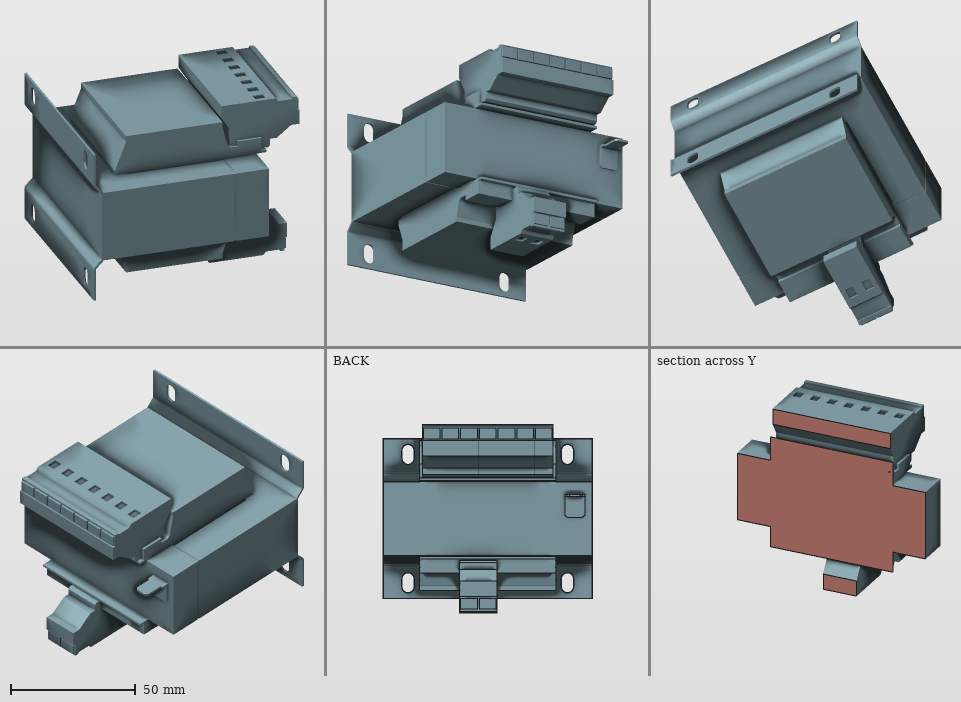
import cadquery as cq
import math


width = 84.0
core_height = 29.8
core_front = 4.4
e_core_back = 59.9
i_core_front = 60.8
core_back = 74.6
spacer_recess = 0.2
window_width = 56.3
window_front = 18.5

sheet = 0.9
foot_edge_z = 32.1
web_face_y = core_front - sheet
bend_angle = 45
bend_inner_radius = 1.0
bend_outer_radius = bend_inner_radius + sheet
web_bend_z = 14.5
slot_width = 4.8
slot_length = 8.0
slot_x = 32.0
slot_z = 25.8

bobbin_width = 54.7
cover_front_y = 18.9
cover_back_y = e_core_back
cover_back_straight = 2.0
rear_foot_y = 62.2
rear_fillet = 2.05
saddle_z = 19.6
rail_front_y = 66.5
rail_back_y = 76.6
rail_top_z = 21.9
ledge_back_y = 78.7
ledge_top_z = 16.3
ledge_bottom_z = 15.3
ledge_front_y = 71.6
nose_bottom_z = 16.75
upper_cover = {"top": 31.4, "nose_y": 14.1, "nose_top": 28.8}
lower_cover = {"top": 28.8, "nose_y": 15.5, "nose_top": 24.75}

upper_modules = (1, 3, 3)
lower_modules = (2,)
block_width = 52.5
pitch = block_width / sum(upper_modules)
block_left = -block_width / 2
lower_block_offset = 3
lower_block_left = block_left + lower_block_offset * pitch
block_back = 93.05
block_top = 37.9
block_front = 59.9
block_front_bottom = 32.4
leg_front_y = 64.0
leg_bend_z = 26.1
hook_roof_z = 17.1
hook_tip_z = 16.75
hook_chamfer = 0.9
hook_back_y = 80.6
hook_shoulder_z = 20.4
overhang_start_y = 83.4
overhang_end_y = 89.5
entry_bottom_z = 25.1
entry_top_z = 31.4
rim_top_z = 37.2
rim_front_y = 90.1
recess_z = 36.5
recess_front_y = 84.0
recess_slope = 1.0
label_face_y = 91.9
label_width = 6.7
label_back_y = 92.8
label_bottom_z = 32.0
label_top_z = 36.3
opening_width = 3.4
opening_front = 74.9
opening_back = 79.4
opening_depth = 1.1

tab_x = -35.0
tab_thickness = 0.8
tab_top_z = 9.8
tab_bottom_z = 0.5
tab_base_width = 8.1
tab_base_end = 77.9
tab_blade_width = 6.2
tab_end = 86.1
tab_chamfer = 1.0


def box(x_limits, y_limits, z_limits):
    size = [high - low for low, high in (x_limits, y_limits, z_limits)]
    corner = (x_limits[0], y_limits[0], z_limits[0])
    return cq.Workplane("XY").box(*size, centered=False).translate(corner)


def side_profile(points, x_start, length):
    """Extrude a closed (Y, Z) outline along +X."""
    return cq.Workplane("YZ", origin=(x_start, 0, 0)).polyline(points).close().extrude(length)


def mirrored_down(solid):
    return solid.mirror("XY")


def make_core():
    half = width / 2
    z_limits = (-core_height / 2, core_height / 2)
    e_core = box((-half, half), (core_front, e_core_back), z_limits)
    window = box((-window_width / 2, window_width / 2), (window_front, e_core_back), z_limits)
    i_core = box((-half, half), (i_core_front, core_back), z_limits)
    spacer_x = half - spacer_recess
    spacer_z = core_height / 2 - spacer_recess
    spacer = box((-spacer_x, spacer_x), (e_core_back, i_core_front), (-spacer_z, spacer_z))
    return [e_core.cut(window), spacer, i_core]


def make_bracket():
    corner_shift = sheet * math.tan(math.radians(bend_angle / 2))
    foot_bend_z = web_bend_z + web_face_y / math.tan(math.radians(bend_angle))
    front_face = [(web_face_y, web_bend_z), (0, foot_bend_z), (0, foot_edge_z)]
    back_face = [
        (sheet, foot_edge_z),
        (sheet, foot_bend_z + corner_shift),
        (core_front, web_bend_z + corner_shift),
    ]
    upper = front_face + back_face
    lower = [(y, -z) for y, z in reversed(upper)]
    bracket = side_profile(upper + lower, -width / 2, width)

    inner_corners = (front_face[0], back_face[1])
    outer_corners = (front_face[1], back_face[2])
    for corners, radius in ((inner_corners, bend_inner_radius), (outer_corners, bend_outer_radius)):
        for y, z in corners:
            for side in (1, -1):
                edge = cq.selectors.NearestToPointSelector((0, y, side * z))
                bracket = bracket.edges("|X").edges(edge).fillet(radius)

    slots = (
        cq.Workplane("XZ")
        .rect(2 * slot_x, 2 * slot_z, forConstruction=True)
        .vertices()
        .slot2D(slot_length, slot_width, 90)
        .extrude(-sheet)
    )
    return bracket.cut(slots)


def bobbin_half(cover):
    """Upper half of the bobbin, from the mid-plane to the top of its coil cover."""
    points = [
        (cover["nose_y"], 0),
        (cover["nose_y"], nose_bottom_z),
        (cover_front_y, cover["nose_top"]),
        (cover_front_y, cover["top"]),
        (cover_back_y, cover["top"]),
        (cover_back_y, cover["top"] - cover_back_straight),
        (rear_foot_y, saddle_z),
        (rail_front_y, saddle_z),
        (rail_front_y, rail_top_z),
        (rail_back_y, rail_top_z),
        (rail_back_y, ledge_top_z),
        (ledge_back_y, ledge_top_z),
        (ledge_back_y, ledge_bottom_z),
        (ledge_front_y, ledge_bottom_z),
        (ledge_front_y, 0),
    ]
    half = side_profile(points, -bobbin_width / 2, bobbin_width)
    rear_corner = cq.selectors.NearestToPointSelector((0, rear_foot_y, saddle_z))
    return half.edges("|X").edges(rear_corner).fillet(rear_fillet)


def terminal_module(x_start, terminals):
    """One moulded housing holding a number of terminals."""
    outline = [
        (block_front, block_top),
        (block_front, block_front_bottom),
        (leg_front_y, leg_bend_z),
        (leg_front_y, saddle_z),
        (rail_front_y, saddle_z),
        (rail_front_y, rail_top_z),
        (rail_back_y, rail_top_z),
        (rail_back_y, hook_roof_z),
        (ledge_back_y, hook_roof_z),
        (ledge_back_y, hook_tip_z),
        (hook_back_y - hook_chamfer, hook_tip_z),
        (hook_back_y, hook_tip_z + hook_chamfer),
        (hook_back_y, hook_shoulder_z),
        (overhang_start_y, hook_shoulder_z),
        (overhang_end_y, entry_bottom_z),
        (block_back, entry_bottom_z),
        (block_back, entry_top_z),
        (label_face_y, entry_top_z),
        (label_face_y, rim_top_z),
        (rim_front_y, rim_top_z),
        (rim_front_y, recess_z),
        (recess_front_y, recess_z),
        (recess_front_y - recess_slope, block_top),
    ]
    module = side_profile(outline, x_start, terminals * pitch)
    for index in range(terminals):
        centre = x_start + (index + 0.5) * pitch
        label = box(
            (centre - label_width / 2, centre + label_width / 2),
            (label_face_y, label_back_y),
            (label_bottom_z, label_top_z),
        )
        opening = box(
            (centre - opening_width / 2, centre + opening_width / 2),
            (opening_front, opening_back),
            (block_top - opening_depth, block_top),
        )
        module = module.union(label).cut(opening)
    return module


def terminal_block(x_start, modules):
    housings = []
    for terminals in modules:
        housings.append(terminal_module(x_start, terminals))
        x_start += terminals * pitch
    return housings


def make_tab():
    base_x = (tab_x - tab_base_width / 2, tab_x + tab_base_width / 2)
    blade_x = (tab_x - tab_blade_width / 2, tab_x + tab_blade_width / 2)
    thickness_z = (tab_top_z - tab_thickness, tab_top_z)
    leg = box(base_x, (core_back, core_back + tab_thickness), (tab_bottom_z, tab_top_z))
    leg = leg.edges("|Y and <Z").chamfer(tab_chamfer)
    base = box(base_x, (core_back, tab_base_end), thickness_z)
    blade = box(blade_x, (core_back, tab_end), thickness_z)
    blade = blade.edges("|Z and >Y").chamfer(tab_chamfer)
    return leg.union(base).union(blade)


upper_block = terminal_block(block_left, upper_modules)
lower_block = [mirrored_down(housing) for housing in terminal_block(lower_block_left, lower_modules)]

result = bobbin_half(upper_cover).union(mirrored_down(bobbin_half(lower_cover)))
for piece in make_core() + [make_bracket(), make_tab()] + upper_block + lower_block:
    result = result.union(piece, clean=False)